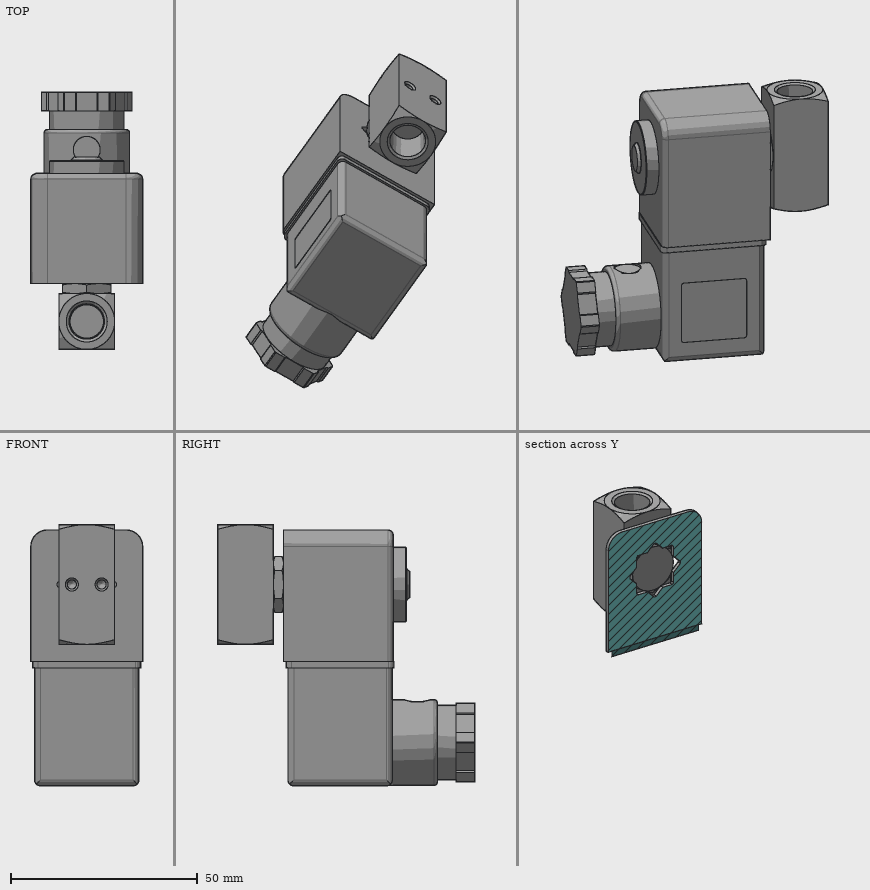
import cadquery as cq
import math


coil_width = 30.0
coil_depth = 29.5
coil_bottom = 33.3
coil_top = 68.6
coil_top_radius = 4.5
coil_back_radius = 1.5
armature_z = 54.0
cap_diameter = 20.0
cap_height = 3.5
cap_chamfer = 0.2
cap_tip_diameter = 8.4
cap_tip_height = 0.9
cap_tip_chamfer = 0.8
socket_side = 11.75
socket_diameter = 16.0
socket_depth = 2.0

block_width = 15.0
block_height = 32.05
block_corner_drop = 1.25
hex_flats = 13.0
hex_height = 2.65
hex_corner_drop = 0.35
port_mouth_diameter = 11.0
port_diameter = 9.5
port_end_diameter = 8.95
port_mouth_depth = 0.4
port_depth = 10.0
screw_spacing = 8.0
screw_mouth_diameter = 3.5
screw_diameter = 2.45
screw_depth = 4.0
drill_tip_angle = 118.0

connector_width = 28.0
connector_edge_radius = 1.6
gasket_width = 29.0
gasket_thickness = 1.7
gasket_corner_radius = 1.5
connector_center_y = 15.2
label_length = 17.9
label_height = 16.95
label_center_y = 15.2
label_center_z = 14.0
label_corner_radius = 0.7
label_depth = 0.1

gland_z = 11.6
barrel_diameter = 23.0
barrel_length = 12.1
barrel_end_radius = 1.0
neck_diameter = 20.0
neck_length = 5.0
knob_length = 5.05
knob_flats = 21.2
knob_diameter = 24.3
knob_sides = 6
grip_width = 6.15
grip_floor_width = 5.5
grip_depth = 0.4
clearance_diameter = 7.2
clearance_depth = 0.6
clearance_y = 35.85


def back_facing(y, z):
    """Workplane on the plane Y = y, centred at X = 0 and height z, that extrudes toward +Y."""
    return cq.Workplane("XZ", origin=(0, y, z)).workplane(invert=True)


def rod(diameter, y_start, length, z):
    return back_facing(y_start, z).circle(diameter / 2).extrude(length)


def socket_cutter():
    """Eight-pointed star of two squares at 45 degrees, with its points trimmed by a circle."""
    square = back_facing(0, armature_z).rect(socket_side, socket_side).extrude(socket_depth)
    diamond = square.rotate((0, 0, armature_z), (0, 1, armature_z), 45)
    return square.union(diamond).intersect(rod(socket_diameter, 0, socket_depth, armature_z))


def make_coil():
    height = coil_top - coil_bottom
    body = cq.Workplane("XY", origin=(0, coil_depth / 2, coil_bottom)).box(
        coil_width, coil_depth, height, centered=(True, True, False)
    )
    body = body.edges("|Y and >Z").fillet(coil_top_radius)
    body = body.faces(">Y").edges("not <Z").fillet(coil_back_radius)

    cap = rod(cap_diameter, coil_depth, cap_height, armature_z).faces(">Y").chamfer(cap_chamfer)
    tip = rod(cap_tip_diameter, coil_depth + cap_height, cap_tip_height, armature_z)
    tip = tip.faces(">Y").chamfer(cap_tip_chamfer)
    body = body.union(cap).union(tip)

    return body.cut(socket_cutter())


def block_envelope():
    """Turned envelope whose conical ends bevel the corners of the square block."""
    flat_radius = block_width / 2
    corner_radius = flat_radius * math.sqrt(2)
    half_height = block_height / 2
    shoulder = half_height - block_corner_drop
    profile = [
        (0, -half_height),
        (flat_radius, -half_height),
        (corner_radius, -shoulder),
        (corner_radius, shoulder),
        (flat_radius, half_height),
        (0, half_height),
    ]
    return cq.Workplane("XZ").polyline(profile).close().revolve(360, (0, 0, 0), (0, 1, 0))


def port_cutter():
    """Blind tapered port entering the top of the block, with a countersunk mouth."""
    top = block_height / 2
    mouth_radius = port_mouth_diameter / 2
    bore_radius = port_diameter / 2
    end_radius = port_end_diameter / 2
    mouth_end = top - port_mouth_depth
    profile = [
        (0, top),
        (mouth_radius, top),
        (bore_radius, mouth_end),
        (end_radius, top - port_depth),
        (0, top - port_depth),
    ]
    return cq.Workplane("XZ").polyline(profile).close().revolve(360, (0, 0, 0), (0, 1, 0))


def screw_hole_cutter():
    """Drilled hole entering the front of the block, with a chamfered mouth and a conical end."""
    front = -block_width / 2
    mouth_radius = screw_mouth_diameter / 2
    hole_radius = screw_diameter / 2
    tip_length = hole_radius / math.tan(math.radians(drill_tip_angle / 2))
    profile = [
        (0, front),
        (mouth_radius, front),
        (hole_radius, front + mouth_radius - hole_radius),
        (hole_radius, front + screw_depth),
        (0, front + screw_depth + tip_length),
    ]
    return cq.Workplane("XY").polyline(profile).close().revolve(360, (0, 0, 0), (0, 1, 0))


def make_hex():
    """Hexagon between block and coil, with two corners pointing up and down and its ends bevelled."""
    corner_diameter = hex_flats / math.cos(math.pi / 6)
    prism = back_facing(-hex_height, armature_z).polygon(6, corner_diameter).extrude(hex_height)
    prism = prism.rotate((0, 0, armature_z), (0, 1, armature_z), 90)
    bevel_width = (corner_diameter - hex_flats) / 2
    envelope = rod(corner_diameter, -hex_height, hex_height, armature_z)
    envelope = envelope.faces("<Y or >Y").chamfer(hex_corner_drop, bevel_width)
    return prism.intersect(envelope)


def make_valve():
    block = cq.Workplane("XY").box(block_width, block_width, block_height).intersect(block_envelope())
    port = port_cutter()
    block = block.cut(port).cut(port.mirror("XY"))
    for side in (-1, 1):
        block = block.cut(screw_hole_cutter().translate((side * screw_spacing / 2, 0, 0)))
    block = block.translate((0, -hex_height - block_width / 2, armature_z))
    return block.union(make_hex())


def make_knob(y_start):
    """Hexagonal gland nut with rounded corners and a shallow grip recess in every flat."""
    corner_diameter = knob_flats / math.cos(math.pi / knob_sides)
    knob = back_facing(y_start, gland_z).polygon(knob_sides, corner_diameter).extrude(knob_length)
    knob = knob.intersect(rod(knob_diameter, y_start, knob_length, gland_z))
    flat = knob_flats / 2
    recess_outline = [
        (-grip_width / 2, flat),
        (-grip_floor_width / 2, flat - grip_depth),
        (grip_floor_width / 2, flat - grip_depth),
        (grip_width / 2, flat),
    ]
    recess = back_facing(y_start, gland_z).polyline(recess_outline).close().extrude(knob_length)
    for i in range(knob_sides):
        knob = knob.cut(recess.rotate((0, 0, gland_z), (0, 1, gland_z), i * 360 / knob_sides))
    return knob


def make_gland():
    barrel_start = connector_center_y + connector_width / 2
    neck_start = barrel_start + barrel_length
    root = connector_width / 2
    barrel = rod(barrel_diameter, barrel_start - root, barrel_length + root, gland_z)
    barrel = barrel.faces(">Y").edges().fillet(barrel_end_radius)
    clearance_floor = gland_z + barrel_diameter / 2 - clearance_depth
    clearance = cq.Workplane("XY", origin=(0, clearance_y, clearance_floor))
    barrel = barrel.cut(clearance.circle(clearance_diameter / 2).extrude(2 * clearance_depth))
    neck = rod(neck_diameter, neck_start, neck_length, gland_z)
    return barrel.union(neck).union(make_knob(neck_start + neck_length))


def make_connector():
    body_height = coil_bottom - gasket_thickness
    base = cq.Workplane("XY", origin=(0, connector_center_y, 0))
    body = base.rect(connector_width, connector_width).extrude(body_height)
    rounded_sides = body.edges("|Z").fillet(connector_edge_radius)
    rounded_left_right = body.edges("|Y and <Z").fillet(connector_edge_radius)
    rounded_front_back = body.edges("|X and <Z").fillet(connector_edge_radius)
    body = rounded_sides.intersect(rounded_left_right).intersect(rounded_front_back)
    gasket = base.workplane(offset=body_height).rect(gasket_width, gasket_width).extrude(gasket_thickness)
    gasket = gasket.edges("|Z").fillet(gasket_corner_radius)

    label = cq.Workplane("XY").box(2 * label_depth, label_length, label_height)
    label = label.edges("|X").fillet(label_corner_radius)
    label = label.translate((-connector_width / 2, label_center_y, label_center_z))
    return body.union(gasket).union(make_gland()).cut(label)


coil = make_coil()
valve = make_valve()
connector = make_connector()

result = cq.Compound.makeCompound([coil.val(), valve.val(), connector.val()])